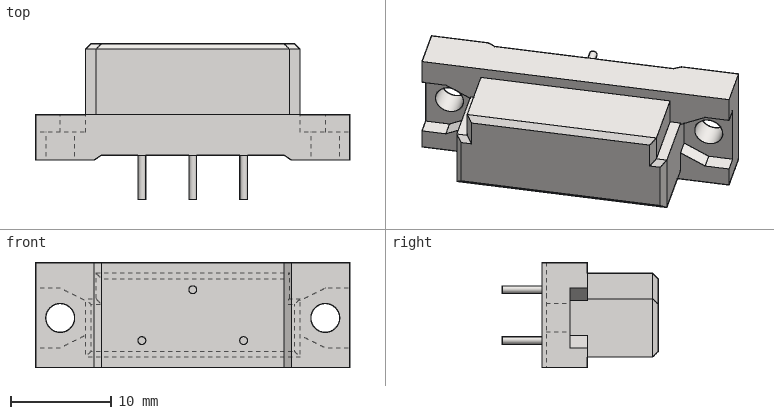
import cadquery as cq

flange_length = 31.4
flange_height = 10.5
flange_thickness = 4.55

relief_depth = 0.47
relief_floor_length = 18.27
relief_mouth_length = 19.72

body_length = 21.48
body_height = 8.38
body_projection = 7.1
body_top_length = 19.35
step_height = 1.63
body_chamfer = 0.55

hole_spacing = 26.5
hole_diameter = 2.85
hole_drop = 0.28
nut_pocket_width = 5.97
nut_pocket_inner_width = 3.5
nut_pocket_depth = 1.73

pin_diameter = 0.8
pin_projection = 3.95
pin_offset = 2.55

body_back = flange_thickness + body_projection
nut_pocket_floor = flange_thickness - nut_pocket_depth


def xz_plane(y):
    """Work plane at the given Y whose extrusions run toward +Y (local x is -X)."""
    return cq.Workplane(cq.Plane(origin=(0, y, 0), xDir=(-1, 0, 0), normal=(0, 1, 0)))


def make_flange():
    flange = xz_plane(0).rect(flange_length, flange_height).extrude(flange_thickness)
    relief = (
        cq.Workplane("XY")
        .polyline([
            (-relief_mouth_length / 2, 0),
            (-relief_floor_length / 2, relief_depth),
            (relief_floor_length / 2, relief_depth),
            (relief_mouth_length / 2, 0),
        ])
        .close()
        .extrude(flange_height / 2, both=True)
    )
    return flange.cut(relief)


def make_nut_pocket(side):
    """Slot from one flange end to the body end, its walls converging from the hole centre inward."""
    outer_half = nut_pocket_width / 2
    inner_half = nut_pocket_inner_width / 2
    flange_end = -side * flange_length / 2
    body_end = -side * body_length / 2
    taper_start = -side * hole_spacing / 2
    return (
        xz_plane(nut_pocket_floor)
        .center(0, -hole_drop)
        .polyline([
            (flange_end, -outer_half),
            (taper_start, -outer_half),
            (body_end, -inner_half),
            (body_end, inner_half),
            (taper_start, outer_half),
            (flange_end, outer_half),
        ])
        .close()
        .extrude(nut_pocket_depth)
    )


def make_body():
    """Stepped plug, rooted at the nut pocket floor so its ends close the pockets."""
    half_length = body_length / 2
    half_top = body_top_length / 2
    half_height = body_height / 2
    return (
        xz_plane(nut_pocket_floor)
        .polyline([
            (-half_length, -half_height),
            (half_length, -half_height),
            (half_length, step_height),
            (half_top, step_height),
            (half_top, half_height),
            (-half_top, half_height),
            (-half_top, step_height),
            (-half_length, step_height),
        ])
        .close()
        .extrude(body_back - nut_pocket_floor)
        .faces(">Y")
        .chamfer(body_chamfer)
    )


def make_pins():
    """One upper pin in the middle and two lower pins, rooted in the relief floor."""
    pin_places = [(0, pin_offset), (-2 * pin_offset, -pin_offset), (2 * pin_offset, -pin_offset)]
    return (
        xz_plane(-pin_projection)
        .pushPoints(pin_places)
        .circle(pin_diameter / 2)
        .extrude(pin_projection + relief_depth)
    )


mounting_holes = (
    xz_plane(0)
    .pushPoints([(-hole_spacing / 2, -hole_drop), (hole_spacing / 2, -hole_drop)])
    .circle(hole_diameter / 2)
    .extrude(flange_thickness)
)

result = make_flange()
for side in (-1, 1):
    result = result.cut(make_nut_pocket(side))
result = result.cut(mounting_holes).union(make_body()).union(make_pins())